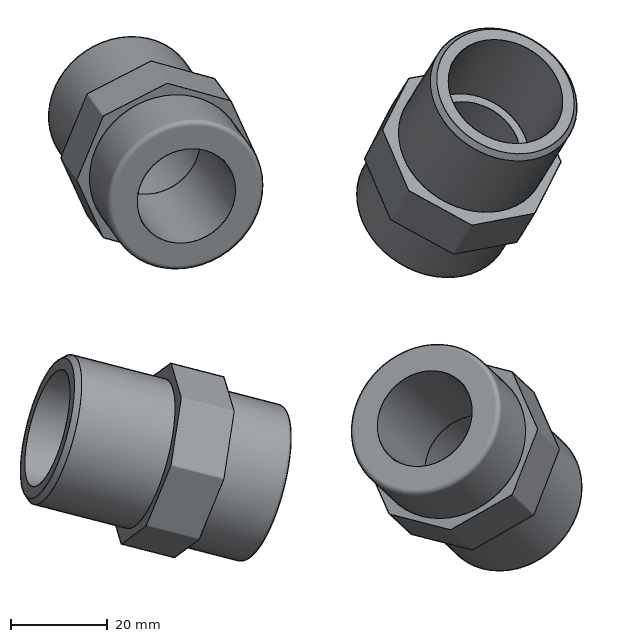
import cadquery as cq

length = 48.0
collar_start = 22.05
collar_width = 11.8
collar_end = collar_start + collar_width

spigot_diameter = 32.0
socket_diameter = 33.5
collar_corner_diameter = 39.0
collar_sides = 8
collar_corner_radius = 0.6

chamfer_length = 1.2
chamfer_depth = 1.0
rim_radius = 1.0

entry_bore_diameter = 25.0
entry_bore_depth = collar_start
through_bore_diameter = 21.2


def at_x(position):
    """Workplane facing +X at the given distance from the spigot end."""
    return cq.Workplane("YZ", origin=(position, 0, 0))


def spigot():
    """Plain cylinder with a lead-in chamfer on its free end."""
    radius = spigot_diameter / 2
    return (
        cq.Workplane("XY")
        .lineTo(0, radius - chamfer_depth)
        .lineTo(chamfer_length, radius)
        .lineTo(collar_start, radius)
        .lineTo(collar_start, 0)
        .close()
        .revolve(360, (0, 0, 0), (1, 0, 0))
    )


def collar():
    """Octagonal wrench grip with slightly rounded corners."""
    return (
        at_x(collar_start)
        .polygon(collar_sides, collar_corner_diameter)
        .extrude(collar_width)
        .edges("|X")
        .fillet(collar_corner_radius)
    )


def socket():
    """Larger cylinder with a rounded rim on its free end."""
    return (
        at_x(collar_end)
        .circle(socket_diameter / 2)
        .extrude(length - collar_end)
        .faces(">X")
        .edges()
        .fillet(rim_radius)
    )


def bore():
    """Through bore, widened from the spigot end up to the collar."""
    entry = at_x(0).circle(entry_bore_diameter / 2).extrude(entry_bore_depth)
    through = at_x(0).circle(through_bore_diameter / 2).extrude(length)
    return entry.union(through)


result = spigot().union(collar()).union(socket()).cut(bore())